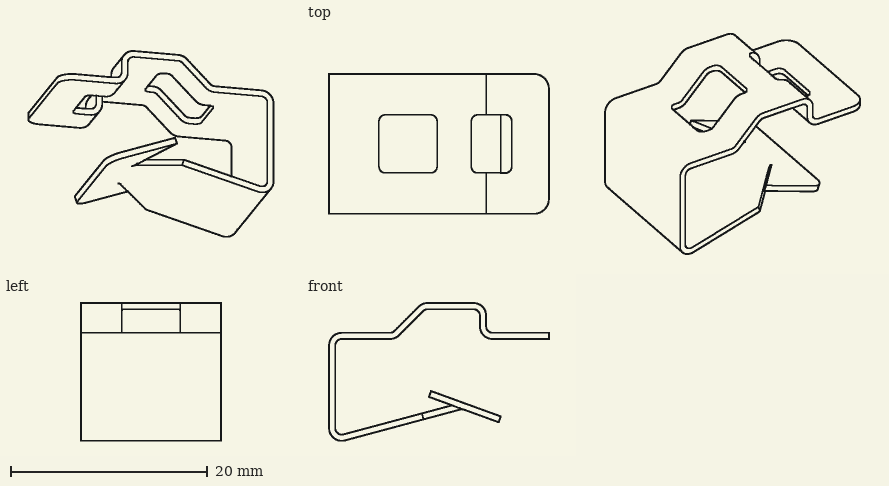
import cadquery as cq
import math

thickness = 0.65
half_thickness = thickness / 2
inner_radius = 0.65
outer_radius = inner_radius + thickness
middle_radius = inner_radius + half_thickness

length = 22.35
width = 14.23
height = 14.02
half_width = width / 2

shoulder_height = 10.99
ramp_angle = math.radians(45)
ramp_top_x = 9.63
step_face_x = 15.97
tab_corner_radius = 1.55

window_width = 5.9
window_corner_radius = 0.65
ramp_window_start = 5.08
ramp_window_end = 10.98
step_window_start = 14.46
step_window_end = 18.55
window_cut_base = shoulder_height / 2

leg_angle = math.radians(15)
tongue_angle = math.radians(20)
leg_full_width_end = 9.52
tongue_bend_x = 13.55
tongue_end_x = 17.35
wing_tip_x = 10.25
leg_neck_half_width = 3.1
tongue_neck_half_width = 2.5
tongue_corner_radius = 1.5


def leg_height(x):
    """Height of the leg's middle line, tangent to the lower bend of the back wall."""
    bend_bottom = outer_radius - middle_radius / math.cos(leg_angle)
    return bend_bottom + (x - outer_radius) * math.tan(leg_angle)


def tongue_height(x):
    """Height of the tongue's middle line, falling away from the end of the leg."""
    return leg_height(tongue_bend_x) - (x - tongue_bend_x) * math.tan(tongue_angle)


def sheet_profile(corners):
    """Closed XZ outline of a sheet whose middle line runs through corners, with rounded bends."""
    stations = []
    points = [cq.Vector(x, 0, z) for x, z in corners]
    side_axis = cq.Vector(0, 1, 0)

    first_direction = (points[1] - points[0]).normalized()
    stations.append((points[0], side_axis.cross(first_direction)))
    for before, corner, after in zip(points, points[1:], points[2:]):
        arriving = (corner - before).normalized()
        leaving = (after - corner).normalized()
        half_turn = arriving.getAngle(leaving) / 2
        setback = middle_radius * math.tan(half_turn)
        to_centre = (leaving - arriving).normalized()
        apex_gap = middle_radius * (1 / math.cos(half_turn) - 1)
        middle_direction = (arriving + leaving).normalized()
        stations.append((corner - arriving * setback, side_axis.cross(arriving)))
        stations.append((corner + to_centre * apex_gap, side_axis.cross(middle_direction)))
        stations.append((corner + leaving * setback, side_axis.cross(leaving)))
    last_direction = (points[-1] - points[-2]).normalized()
    stations.append((points[-1], side_axis.cross(last_direction)))

    def face_points(offset):
        face = [point + normal * offset for point, normal in stations]
        return [(point.x, point.z) for point in face]

    def trace(sketch, face):
        for start, middle, end in zip(face[1:-1:3], face[2:-1:3], face[3:-1:3]):
            sketch = sketch.lineTo(*start).threePointArc(middle, end)
        return sketch.lineTo(*face[-1])

    near_face = face_points(half_thickness)
    far_face = face_points(-half_thickness)[::-1]
    outline = trace(cq.Workplane("XZ").moveTo(*near_face[0]), near_face)
    outline = trace(outline.lineTo(*far_face[0]), far_face)
    return outline.close()


def make_strip():
    """Full-width bent strip from the tab, round the back wall, to the end of the tongue bend."""
    shoulder_z = shoulder_height - half_thickness
    top_z = height - half_thickness
    ramp_bottom_x = ramp_top_x - (top_z - shoulder_z) / math.tan(ramp_angle)
    step_x = step_face_x - half_thickness
    corners = [
        (length, shoulder_z),
        (step_x, shoulder_z),
        (step_x, top_z),
        (ramp_top_x, top_z),
        (ramp_bottom_x, shoulder_z),
        (half_thickness, shoulder_z),
        (half_thickness, leg_height(half_thickness)),
        (tongue_bend_x, leg_height(tongue_bend_x)),
        (tongue_end_x, tongue_height(tongue_end_x)),
    ]
    return sheet_profile(corners).extrude(half_width, both=True)


def round_tab(strip):
    return strip.edges("|Z").edges(">X").fillet(tab_corner_radius)


def window(start_x, end_x):
    """Cutter for a rounded window through the upper strip."""
    return (
        cq.Workplane("XY", origin=((start_x + end_x) / 2, 0, window_cut_base))
        .rect(end_x - start_x, window_width)
        .extrude(height)
        .edges("|Z")
        .fillet(window_corner_radius)
    )


def bend_setback():
    """Distance along the sheet from the tongue bend's sharp corner to its tangent lines."""
    return middle_radius * math.tan((leg_angle + tongue_angle) / 2)


def sheet_plane(slope):
    """Plane on the sheet's middle surface through the tongue bend, its X rising at slope."""
    return cq.Plane(
        origin=(tongue_bend_x, 0, leg_height(tongue_bend_x)),
        xDir=(math.cos(slope), 0, math.sin(slope)),
        normal=(-math.sin(slope), 0, math.cos(slope)),
    )


def leg_trim(side):
    """Cutter that narrows one side of the leg to the neck and clears everything beside it."""
    narrowing_start = (leg_full_width_end - tongue_bend_x) / math.cos(leg_angle)
    beyond_tongue = length - tongue_bend_x
    outline = [
        (narrowing_start, side * half_width),
        (-bend_setback(), side * leg_neck_half_width),
        (bend_setback(), side * tongue_neck_half_width),
        (beyond_tongue, side * tongue_neck_half_width),
        (beyond_tongue, side * width),
        (narrowing_start, side * width),
    ]
    reach = outer_radius * 2
    return cq.Workplane(sheet_plane(leg_angle)).polyline(outline).close().extrude(reach, both=True)


def make_tongue():
    """Flat tongue with wings that point back over the leg on both sides of the neck."""
    wing_tip = (wing_tip_x - tongue_bend_x) / math.cos(tongue_angle)
    end = (tongue_end_x - tongue_bend_x) / math.cos(tongue_angle)
    outline = [
        (bend_setback(), -tongue_neck_half_width),
        (wing_tip, -half_width),
        (end, -half_width),
        (end, half_width),
        (wing_tip, half_width),
        (bend_setback(), tongue_neck_half_width),
    ]
    plate = (
        cq.Workplane(sheet_plane(-tongue_angle))
        .polyline(outline)
        .close()
        .extrude(half_thickness, both=True)
    )
    end_corners = cq.selectors.BoxSelector(
        (tongue_end_x - thickness, -width, 0), (length, width, height)
    )
    return plate.edges("#Y").edges(end_corners).fillet(tongue_corner_radius)


result = round_tab(make_strip())
result = result.cut(window(ramp_window_start, ramp_window_end))
result = result.cut(window(step_window_start, step_window_end))
for side in (-1, 1):
    result = result.cut(leg_trim(side))
result = result.union(make_tongue())